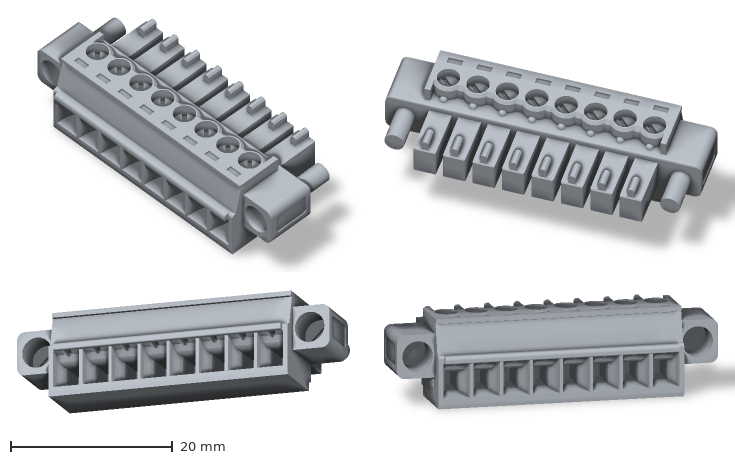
import cadquery as cq
import math


pole_count = 8
pitch = 3.81
pole_positions = [(i - (pole_count - 1) / 2) * pitch for i in range(pole_count)]

body_width = 31.3
body_height = 11.1
body_back = 8.03
end_wall = 0.75
inner_width = body_width - 2 * end_wall
front_foot_height = 0.57
front_foot_draft = 0.05
slope_start_y, slope_start_z = 0.6, 6.7
slope_end_y, slope_end_z = 1.6, 10.4
front_edge_radius = 0.45
overhang_y = 1.35
overhang_z = 10.5
groove_back_y = 2.05

flange_width = 40.9
flange_top = 9.18
flange_back = 8.9
plate_bottom = 1.23
plate_edge_radius = 0.3
ear_bottom = 3.62
ear_height = flange_top - ear_bottom
ear_mid_z = (flange_top + ear_bottom) / 2
ear_front = 1.98
ear_corner_radius = 1.0

recess_y = (2.95, 8.25)
recess_z = (5.07, 7.93)
recess_depth = 0.2
recess_radius = 0.5
pad_y = (2.42, 8.55)
pad_z = (2.17, 3.28)
pad_thickness = 0.12
pad_radius = 0.25

flange_screw_x = 17.84
flange_head_radius = 1.93
flange_head_recess = 4.0
flange_slot_width = 0.7
flange_shaft_radius = 1.28
flange_shaft_end = 13.6

clamp_screw_y = 5.39
clamp_head_radius = 1.45
clamp_head_recess = 1.4
clamp_slot_width = 0.6
slot_depth = 0.5
collar_radius = 1.98
collar_chamfer = 0.35
dome_radius = 0.52
dome_y = 7.45
step_y = 6.68
step_chamfer = 0.49

test_slot_length = 1.9
test_slot_width = 0.8
test_slot_y = 2.62
test_slot_depth = 0.25

lip_reach = 0.62
lip_bottom, lip_top = 5.75, 6.7
lip_top_radius = 0.5
lip_bottom_radius = 0.15

entry_half_width = 1.7
entry_bottom, entry_top = 1.18, 5.75
mouth_depth = 0.9
mouth_half_width = 1.55
mouth_top = 5.47
roof_edge_y, roof_edge_z = 1.4, 4.67
roof_bow_y, roof_bow_z = 1.9, 4.35
funnel_depth = 2.6
throat_half_width = 0.84
throat_bottom, throat_top = 1.59, 4.24
throat_end = 7.0
guide_front_radius = 0.6
guide_end_radius = 0.25
guide_z = 5.62
guide_depth = 1.8

pin_end = 15.5
pin_bottom, pin_top = 4.27, 8.32
pin_right = 1.45
pin_left_base, pin_left_tip = 1.53, 1.42
pin_tip_chamfer = 0.13
tab_y = (13.03, 15.3)
tab_top = 9.67
tab_base_half_width = 0.71
tab_half_width = 0.43
tab_crest_half_width = 0.2
tab_foot_radius = tab_base_half_width - tab_half_width
tab_crest_height = 0.24


def span_box(x_range, y_range, z_range):
    """Box given by its limits along the three axes."""
    sizes = [high - low for low, high in (x_range, y_range, z_range)]
    corner = cq.Vector(x_range[0], y_range[0], z_range[0])
    return cq.Workplane(cq.Solid.makeBox(*sizes, pnt=corner))


def extrude_x(outline, width):
    """Extrude an outline drawn in Y and Z symmetrically along X."""
    return outline.close().extrude(width / 2, both=True)


def cylinder_y(x, z, radius, y_start, y_end):
    return cq.Workplane(
        cq.Solid.makeCylinder(radius, y_end - y_start, cq.Vector(x, y_start, z), cq.Vector(0, 1, 0))
    )


def cylinder_z(x, y, radius, z_start, z_end):
    return cq.Workplane(
        cq.Solid.makeCylinder(radius, z_end - z_start, cq.Vector(x, y, z_start), cq.Vector(0, 0, 1))
    )


def make_housing():
    arc_offset = front_edge_radius * (1 - math.sqrt(0.5))
    outline = (
        cq.Workplane("YZ")
        .moveTo(front_foot_draft, 0)
        .lineTo(0, front_foot_height)
        .lineTo(0, slope_start_z - front_edge_radius)
        .threePointArc((arc_offset, slope_start_z - arc_offset), (front_edge_radius, slope_start_z))
        .lineTo(slope_start_y, slope_start_z)
        .lineTo(slope_end_y, slope_end_z)
        .lineTo(groove_back_y, slope_end_z)
        .lineTo(groove_back_y, overhang_z)
        .lineTo(overhang_y, overhang_z)
        .lineTo(overhang_y, body_height)
        .lineTo(body_back, body_height)
        .lineTo(body_back, 0)
    )
    return extrude_x(outline, body_width)


def make_top_step():
    """Space behind the screw row, between the two raised end walls."""
    outline = (
        cq.Workplane("YZ")
        .moveTo(step_y, flange_top)
        .lineTo(step_y, body_height - step_chamfer)
        .lineTo(step_y - step_chamfer, body_height)
        .lineTo(flange_back, body_height)
        .lineTo(flange_back, flange_top)
    )
    return extrude_x(outline, inner_width)


def make_collar(x):
    """Chamfered collar around a screw hole with a small dome at its foot."""
    collar = cylinder_z(x, clamp_screw_y, collar_radius, flange_top, body_height)
    collar = collar.faces(">Z").edges().chamfer(collar_chamfer)
    dome = cq.Workplane("XY").sphere(dome_radius).translate((x, dome_y, flange_top))
    inner_space = span_box(
        (-inner_width / 2, inner_width / 2), (clamp_screw_y, body_back), (flange_top, body_height)
    )
    return collar.union(dome).intersect(inner_space)


def make_flange():
    """Back plate joined to the ears, which alone reach forward of the plate."""
    plate = span_box(
        (-body_width / 2, body_width / 2), (clamp_screw_y, flange_back), (plate_bottom, flange_top)
    )
    ears = (
        cq.Workplane("XY")
        .box(flange_width, flange_back - ear_front, ear_height)
        .translate((0, (flange_back + ear_front) / 2, ear_mid_z))
        .edges("|Y")
        .fillet(ear_corner_radius)
    )
    rounded_envelope = span_box(
        (-flange_width / 2, flange_width / 2), (ear_front, flange_back), (plate_bottom, flange_top)
    )
    rounded_envelope = rounded_envelope.faces(">Y").edges("|X").fillet(plate_edge_radius)
    return plate.union(ears).intersect(rounded_envelope)


def make_lip():
    block = span_box(
        (-inner_width / 2, inner_width / 2), (-lip_reach, front_edge_radius), (lip_bottom, lip_top)
    )
    block = block.edges("<Y and >Z").fillet(lip_top_radius)
    return block.edges("<Y and <Z").fillet(lip_bottom_radius)


def make_side_panel(x_start, x_end, y_range, z_range, radius):
    """Flat panel with rounded corners, lying in a plane across X."""
    panel = span_box((x_start, x_end), y_range, z_range)
    return panel.edges("|X").fillet(radius)


def make_wire_entry(x):
    """Funnel with a sloping roof, leading into a rectangular throat."""
    plan = (
        cq.Workplane("XY")
        .moveTo(-entry_half_width, 0)
        .lineTo(-mouth_half_width, mouth_depth)
        .lineTo(-throat_half_width, funnel_depth)
        .lineTo(throat_half_width, funnel_depth)
        .lineTo(mouth_half_width, mouth_depth)
        .lineTo(entry_half_width, 0)
        .close()
        .extrude(body_height)
    )
    side = (
        cq.Workplane("YZ")
        .moveTo(0, entry_bottom)
        .lineTo(funnel_depth, throat_bottom)
        .lineTo(funnel_depth, throat_top)
        .threePointArc((roof_bow_y, roof_bow_z), (roof_edge_y, roof_edge_z))
        .lineTo(mouth_depth, mouth_top)
        .lineTo(0, entry_top)
    )
    funnel = plan.intersect(extrude_x(side, pitch))
    throat = span_box(
        (-throat_half_width, throat_half_width), (funnel_depth, throat_end), (throat_bottom, throat_top)
    )
    guide = cq.Solid.makeCone(
        guide_front_radius, guide_end_radius, guide_depth, cq.Vector(0, 0, guide_z), cq.Vector(0, 1, 0)
    )
    return funnel.union(throat).union(cq.Workplane(guide)).translate((x, 0, 0))


def make_clamp_screw_cut(x):
    """Screw hole in the top, with the driver slot in the screw head."""
    head_z = body_height - clamp_head_recess
    hole = cylinder_z(x, clamp_screw_y, clamp_head_radius, head_z, body_height)
    slot = (
        cq.Workplane("XY")
        .box(2 * clamp_head_radius, clamp_slot_width, slot_depth)
        .rotate((0, 0, 0), (0, 0, 1), -45)
        .translate((x, clamp_screw_y, head_z - slot_depth / 2))
    )
    slot = slot.intersect(
        cylinder_z(x, clamp_screw_y, clamp_head_radius, head_z - slot_depth, head_z)
    )
    return hole.union(slot)


def make_flange_screw_cut(x):
    """Screw hole in an ear, with the driver slot in the screw head."""
    head_y = ear_front + flange_head_recess
    hole = cylinder_y(x, ear_mid_z, flange_head_radius, ear_front, head_y)
    slot = (
        cq.Workplane("XY")
        .box(2 * flange_head_radius, slot_depth, flange_slot_width)
        .rotate((0, 0, 0), (0, 1, 0), -45)
        .translate((x, head_y + slot_depth / 2, ear_mid_z))
    )
    slot = slot.intersect(
        cylinder_y(x, ear_mid_z, flange_head_radius, head_y, head_y + slot_depth)
    )
    return hole.union(slot)


def make_test_slot(x):
    return span_box(
        (x - test_slot_length / 2, x + test_slot_length / 2),
        (test_slot_y - test_slot_width / 2, test_slot_y + test_slot_width / 2),
        (body_height - test_slot_depth, body_height),
    )


def make_pin(x):
    """Plug pin tapered on its -X side, with a coding tab on top."""
    pin = (
        cq.Workplane("XY")
        .workplane(offset=pin_bottom)
        .moveTo(-pin_left_base, body_back)
        .lineTo(-pin_left_tip, pin_end)
        .lineTo(pin_right, pin_end)
        .lineTo(pin_right, body_back)
        .close()
        .extrude(pin_top - pin_bottom)
        .faces(">Y")
        .chamfer(pin_tip_chamfer)
    )
    foot_arc = tab_foot_radius * (1 - math.sqrt(0.5))
    tab = (
        cq.Workplane("XZ", origin=(0, tab_y[1], 0))
        .moveTo(-tab_base_half_width, pin_top)
        .threePointArc(
            (-tab_half_width - foot_arc, pin_top + foot_arc),
            (-tab_half_width, pin_top + tab_foot_radius),
        )
        .lineTo(-tab_half_width, tab_top - tab_crest_height)
        .lineTo(-tab_crest_half_width, tab_top)
        .lineTo(tab_crest_half_width, tab_top)
        .lineTo(tab_half_width, tab_top - tab_crest_height)
        .lineTo(tab_half_width, pin_top + tab_foot_radius)
        .threePointArc(
            (tab_half_width + foot_arc, pin_top + foot_arc),
            (tab_base_half_width, pin_top),
        )
        .close()
        .extrude(tab_y[1] - tab_y[0])
    )
    return pin.union(tab).translate((x, 0, 0))


result = make_housing().cut(make_top_step())
result = result.union(make_flange()).union(make_lip())
result = result.union(
    make_side_panel(-body_width / 2 - pad_thickness, -body_width / 2, pad_y, pad_z, pad_radius)
)

for side in (-1, 1):
    outer_x = side * flange_width / 2
    x_limits = sorted((outer_x, outer_x - side * recess_depth))
    screw_x = side * flange_screw_x
    shaft = cylinder_y(screw_x, ear_mid_z, flange_shaft_radius, flange_back, flange_shaft_end)
    result = result.cut(make_side_panel(*x_limits, recess_y, recess_z, recess_radius))
    result = result.cut(make_flange_screw_cut(screw_x)).union(shaft)

for pole_x in pole_positions:
    result = result.union(make_collar(pole_x)).union(make_pin(pole_x))
for pole_x in pole_positions:
    result = result.cut(make_clamp_screw_cut(pole_x))
    result = result.cut(make_test_slot(pole_x))
    result = result.cut(make_wire_entry(pole_x))